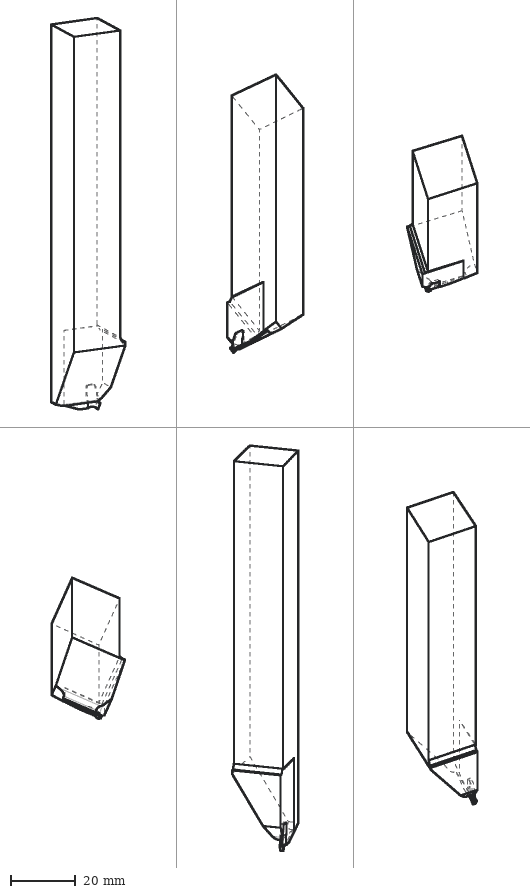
import cadquery as cq

LENGTH = 125.0
SHANK = 16.0
HEAD_DEPTH = 17.8

HEAD_TOP = 25.1
SHOULDER_Y = 16.9
SHOULDER_TOP = 26.8
NOSE_Z = 8.1
HEEL_Z = 4.1
TOE_Y = 9.4
TOE_Z = 0.8

BLADE_X = 1.0
BLADE_TOP = 2.9
SLANT_TOP = 24.0
SLANT_FOOT_X = 2.8
SLANT_ROUND = 1.9

RELIEF = 0.2
RECESS_Y = 4.5
RECESS_TOP = 26.5

SEAT_BACK_Y = 12.4
SEAT_TOP = 8.1
NECK = (15.8, 4.4)
LIP_CORNER = (16.6, 1.9)
LIP_ROOT = (16.0, 2.0)
LIP_HEEL = (15.0, 0.8)
TIP = (15.9, 0.0)


def prism_along_x(points, start, end):
    """Extrude a closed YZ outline from X = start to X = end."""
    return cq.Workplane("YZ", origin=(start, 0, 0)).polyline(points).close().extrude(end - start)


def insert_blank(start, end):
    """Insert prism, without the wider cutting lip."""
    outline = [
        NECK,
        (15.5, 5.6),
        (15.0, 7.5),
        (14.6, SEAT_TOP),
        (SEAT_BACK_Y, SEAT_TOP),
        (12.0, 7.5),
        (12.1, HEEL_Z),
        (SEAT_BACK_Y, 3.9),
        (SEAT_BACK_Y, 1.0),
        (13.6, 1.1),
        LIP_HEEL,
        TIP,
        LIP_CORNER,
        (16.1, 2.4),
        (15.8, 3.4),
    ]
    return prism_along_x(outline, start, end)


def side_profile():
    """Shank and head with the insert seat still filled."""
    outline = [
        (0, LENGTH),
        (0, HEEL_Z),
        (TOE_Y, TOE_Z),
        (SEAT_BACK_Y, TOE_Z),
        NECK,
        (HEAD_DEPTH, NOSE_Z),
        (HEAD_DEPTH, HEAD_TOP),
        (SHOULDER_Y, HEAD_TOP),
        (SHANK, SHOULDER_TOP),
        (SHANK, LENGTH),
    ]
    return prism_along_x(outline, 0, SHANK)


def front_profile():
    """XZ outline that slants the +X side down to the thin blade."""
    body = (
        cq.Workplane("XZ")
        .polyline([
            (0, LENGTH),
            (SHANK, LENGTH),
            (SHANK, SLANT_TOP),
            (SLANT_FOOT_X, BLADE_TOP),
            (BLADE_X, BLADE_TOP),
            (BLADE_X, 0),
            (0, 0),
        ])
        .close()
        .extrude(-HEAD_DEPTH)
    )
    foot = cq.selectors.NearestToPointSelector((SLANT_FOOT_X, HEAD_DEPTH / 2, BLADE_TOP))
    return body.edges(foot).fillet(SLANT_ROUND)


def relief_wedge():
    """Sliver that leans the -X face inward toward -Y."""
    return cq.Workplane("XY").polyline([(0, 0), (RELIEF, 0), (0, SHANK)]).close().extrude(LENGTH)


def side_recess():
    """Shallow flat recess on the -X side of the head."""
    return cq.Workplane("XY").box(
        RELIEF, HEAD_DEPTH - RECESS_Y, RECESS_TOP, centered=False
    ).translate((0, RECESS_Y, 0))


def make_holder():
    holder = side_profile().intersect(front_profile())
    holder = holder.cut(relief_wedge()).cut(side_recess())
    return holder.cut(insert_blank(0, BLADE_X))


def make_insert():
    """Insert flush with the blade, with a lip that stands out toward -X."""
    lip = prism_along_x([LIP_ROOT, LIP_HEEL, TIP, LIP_CORNER], 0, BLADE_X)
    return insert_blank(RELIEF, BLADE_X).union(lip)


holder = make_holder()
insert = make_insert()
result = cq.Compound.makeCompound([holder.val(), insert.val()])